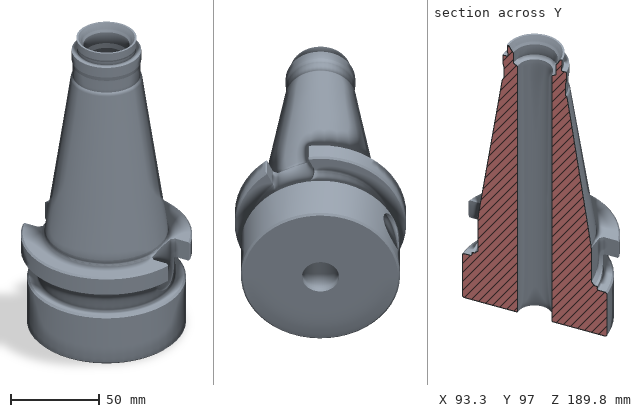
import cadquery as cq
import math

total_height = 189.8
nose_top = 31.8
flange_bottom = 47.6
flange_thickness = 12.2
flange_top = flange_bottom + flange_thickness
gauge_height = 63.0
gauge_band = 1.6
taper_top = 163.3

nose_radius = 45.0
neck_radius = 38.9
flange_radius = 48.5
gauge_radius = 69.85 / 2
taper_ratio = 7 / 48
taper_top_radius = gauge_radius - (taper_top - gauge_height) * taper_ratio

cut_clearance = 1.0

nose_chamfer = 1.1
flange_chamfer = 1.0
neck_fillet = 1.0
gauge_fillet = gauge_height - gauge_band - flange_top

rim_radius = 17.1
rim_depth = 4.7
groove_radius = 16.7
groove_depth = 5.9
collar_radius = 19.7
collar_top_depth = 7.9
collar_edge_depth = 14.3
pilot_radius = 19.2
pilot_top_depth = 16.8
shoulder_height = 1.9

bore_radius = 10.5
recess_radius = 13.1
seat_radius = 14.1
seat_mouth_radius = 16.0
seat_depth = 3.2
recess_top_depth = 4.6
recess_depth = 11.8
drill_point_slope = math.tan(math.radians(30))

slot_width = 25.7
slot_floor = 35.2
slot_centre_height = 47.2
slot_floor_bevel = 2.0
slot_corner_chamfer = 0.6

screw_radius = 10.75
screw_height = 19.0
screw_hole_depth = 2 * screw_radius
screw_recess = 2.5


def turned_outside():
    """Solid of revolution for the whole outside of the holder."""
    bend = 1 - math.sqrt(0.5)

    def below_end(depth):
        return total_height - depth

    profile = (
        cq.Workplane("XZ")
        .moveTo(0, 0)
        .lineTo(nose_radius - nose_chamfer, 0)
        .lineTo(nose_radius, nose_chamfer)
        .lineTo(nose_radius, nose_top - nose_chamfer)
        .lineTo(nose_radius - nose_chamfer, nose_top)
        .lineTo(neck_radius + neck_fillet, nose_top)
        .threePointArc(
            (neck_radius + bend * neck_fillet, nose_top + bend * neck_fillet),
            (neck_radius, nose_top + neck_fillet),
        )
        .lineTo(neck_radius, flange_bottom - neck_fillet)
        .threePointArc(
            (neck_radius + bend * neck_fillet, flange_bottom - bend * neck_fillet),
            (neck_radius + neck_fillet, flange_bottom),
        )
        .lineTo(flange_radius - flange_chamfer, flange_bottom)
        .lineTo(flange_radius, flange_bottom + flange_chamfer)
        .lineTo(flange_radius, flange_top - flange_chamfer)
        .lineTo(flange_radius - flange_chamfer, flange_top)
        .lineTo(gauge_radius + gauge_fillet, flange_top)
        .threePointArc(
            (gauge_radius + bend * gauge_fillet, flange_top + bend * gauge_fillet),
            (gauge_radius, flange_top + gauge_fillet),
        )
        .lineTo(gauge_radius, gauge_height)
        .lineTo(taper_top_radius, taper_top)
        .tangentArcPoint((pilot_radius, taper_top + shoulder_height), relative=False)
        .lineTo(pilot_radius, below_end(pilot_top_depth))
        .lineTo(collar_radius, below_end(collar_edge_depth))
        .lineTo(collar_radius, below_end(collar_top_depth))
        .lineTo(groove_radius, below_end(collar_top_depth))
        .lineTo(groove_radius, below_end(groove_depth))
        .lineTo(rim_radius, below_end(rim_depth))
        .lineTo(rim_radius, total_height)
        .lineTo(0, total_height)
        .close()
    )
    return profile.revolve(360, (0, 0, 0), (0, 1, 0))


def axial_bore():
    """Through bore, its recess and the conical seat at the small end."""
    cone_depth = (recess_radius - bore_radius) * drill_point_slope
    profile = (
        cq.Workplane("XZ")
        .moveTo(0, 0)
        .lineTo(bore_radius, 0)
        .lineTo(bore_radius, total_height - recess_depth - cone_depth)
        .lineTo(recess_radius, total_height - recess_depth)
        .lineTo(recess_radius, total_height - recess_top_depth)
        .lineTo(seat_radius, total_height - seat_depth)
        .lineTo(seat_mouth_radius, total_height)
        .lineTo(0, total_height)
        .close()
    )
    return profile.revolve(360, (0, 0, 0), (0, 1, 0))


def drive_slot(side):
    """Cutter for one round-ended drive slot; side is +1 or -1 along X."""
    half_width = slot_width / 2
    reach = flange_radius + cut_clearance - slot_floor
    slot_top = gauge_height
    outline = (
        cq.Workplane("YZ", origin=(slot_floor, 0, 0))
        .moveTo(-half_width, slot_top)
        .lineTo(-half_width, slot_centre_height)
        .threePointArc((0, slot_centre_height - half_width), (half_width, slot_centre_height))
        .lineTo(half_width, slot_top)
        .close()
    )
    cutter = outline.extrude(reach)
    floor_edges = cutter.faces("<X").edges("not(>Z)")
    cutter = cutter.newObject(floor_edges.vals()).chamfer(slot_floor_bevel)
    corner_x = math.sqrt(flange_radius**2 - half_width**2)
    bevel_size = slot_corner_chamfer + flange_radius - corner_x
    for y_side in (1, -1):
        bevel = (
            cq.Workplane("XY", origin=(0, 0, flange_bottom))
            .polyline(
                [
                    (flange_radius - bevel_size, y_side * half_width),
                    (flange_radius, y_side * half_width),
                    (flange_radius, y_side * (half_width + bevel_size)),
                ]
            )
            .close()
            .extrude(flange_thickness)
        )
        cutter = cutter.union(bevel)
    if side < 0:
        cutter = cutter.rotate((0, 0, 0), (0, 0, 1), 180)
    return cutter


def radial_cylinder(inner, outer):
    """Cylinder of the screw's radius along +Y between two distances from the axis."""
    return (
        cq.Workplane("XZ", origin=(0, inner, screw_height))
        .circle(screw_radius)
        .extrude(-(outer - inner))
    )


screw_hole_floor = nose_radius - screw_hole_depth
holder = turned_outside().cut(axial_bore())
for side in (1, -1):
    holder = holder.cut(drive_slot(side))
holder = holder.cut(radial_cylinder(screw_hole_floor, nose_radius + cut_clearance))

clamping_screw = radial_cylinder(screw_hole_floor, nose_radius - screw_recess)

result = cq.Compound.makeCompound([holder.val(), clamping_screw.val()])